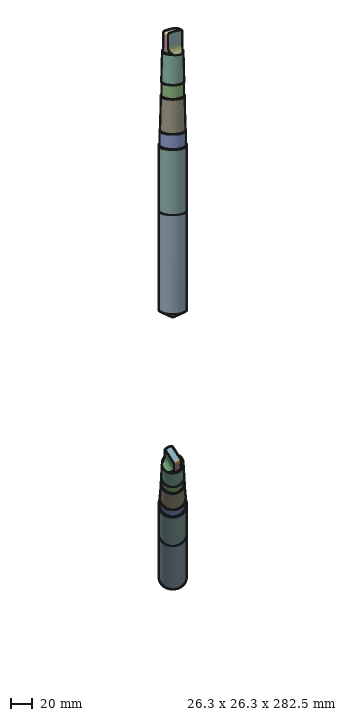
import cadquery as cq
import math

overall_length = 282.5
body_diameter = 26.3
point_angle = 118.0
seam_z = 105.0

shoulder_z = 261.0
large_end_diameter = 24.0
taper_ratio = 0.05
relief_top_z = 231.5
relief_bottom_z = 218.1
relief_diameter = 21.2
collar_top_z = 183.7
collar_bottom_z = 169.5
collar_diameter = 24.5
step_length = 0.5

tang_diameter = 18.5
tang_thickness = 7.5
tang_angle = 18.0
tang_flat_bottom_z = 267.5
runout_radius = 7.0
crown_height = 0.8
end_round_radius = 2.3

body_radius = body_diameter / 2
point_length = body_radius / math.tan(math.radians(point_angle / 2))


def taper_radius(z):
    """Radius of the taper at height z."""
    return (large_end_diameter - taper_ratio * (z - collar_top_z)) / 2


def make_cutter():
    """Cylindrical cutter with a conical point."""
    half_outline = [
        (0, 0),
        (body_radius, point_length),
        (body_radius, seam_z),
        (0, seam_z),
    ]
    return cq.Workplane("XZ").polyline(half_outline).close().revolve(360, (0, 0), (0, 1))


def make_shank_blank():
    """Turned shank before the tang flats are cut."""
    relief_radius = relief_diameter / 2
    collar_radius = collar_diameter / 2
    tang_radius = tang_diameter / 2
    crown_edge_z = overall_length - crown_height
    crown_radius = tang_radius - end_round_radius
    round_bottom_z = crown_edge_z - end_round_radius
    round_reach = end_round_radius * math.sin(math.pi / 4)
    taper_bottom_z = collar_top_z + step_length
    relief_lower_z = relief_bottom_z - step_length
    relief_upper_z = relief_top_z + step_length
    side_points = [
        (0, seam_z),
        (body_radius, seam_z),
        (body_radius, collar_bottom_z - step_length),
        (collar_radius, collar_bottom_z),
        (collar_radius, collar_top_z),
        (taper_radius(taper_bottom_z), taper_bottom_z),
        (taper_radius(relief_lower_z), relief_lower_z),
        (relief_radius, relief_bottom_z),
        (relief_radius, relief_top_z),
        (taper_radius(relief_upper_z), relief_upper_z),
        (taper_radius(shoulder_z), shoulder_z),
        (tang_radius, shoulder_z + step_length),
        (tang_radius, round_bottom_z),
    ]
    return (
        cq.Workplane("XZ")
        .polyline(side_points)
        .threePointArc(
            (crown_radius + round_reach, round_bottom_z + round_reach),
            (crown_radius, crown_edge_z),
        )
        .lineTo(0, overall_length)
        .close()
        .revolve(360, (0, 0), (0, 1))
    )


def make_flat_cutter(side):
    """Material removed beside the tang; side is +1 or -1 along X before turning."""
    flat_x = tang_thickness / 2
    arc_center_x = flat_x + runout_radius
    arc_drop = runout_radius * math.sin(math.pi / 4)
    cutter = (
        cq.Workplane("XZ")
        .moveTo(side * flat_x, overall_length)
        .lineTo(side * flat_x, tang_flat_bottom_z)
        .threePointArc(
            (side * (arc_center_x - arc_drop), tang_flat_bottom_z - arc_drop),
            (side * arc_center_x, tang_flat_bottom_z - runout_radius),
        )
        .lineTo(side * arc_center_x, overall_length)
        .close()
        .extrude(body_radius, both=True)
    )
    return cutter.rotate((0, 0, 0), (0, 0, 1), -tang_angle)


def make_shank():
    """Taper shank with a flat driving tang."""
    shank = make_shank_blank()
    for side in (1, -1):
        shank = shank.cut(make_flat_cutter(side))
    return shank


cutter = make_cutter()
shank = make_shank()
result = cq.Compound.makeCompound([cutter.val(), shank.val()])